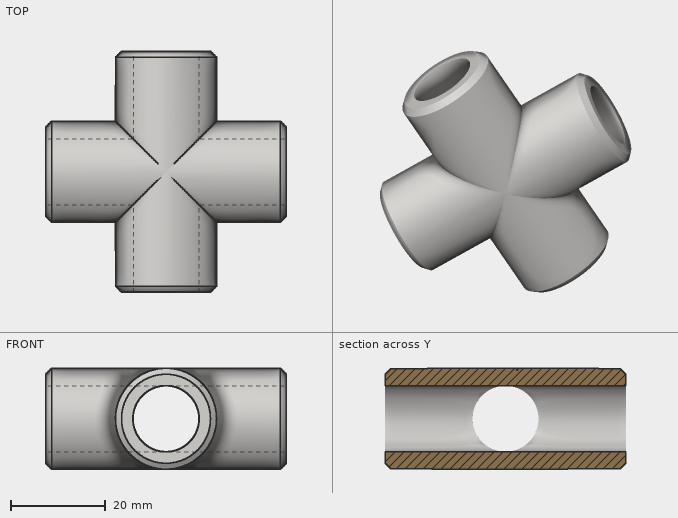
import cadquery as cq

length = 50.8
outer_diameter = 21.35
bore_diameter = 13.9
end_chamfer = 1.25


def centred_cylinder(plane, diameter):
    """Full-length cylinder centred on the origin, along the plane's normal."""
    return cq.Workplane(plane).circle(diameter / 2).extrude(length / 2, both=True)


def chamfered_tube_body(plane):
    """Solid outer body of one tube, with both end rims chamfered."""
    return centred_cylinder(plane, outer_diameter).faces("|X or |Y").chamfer(end_chamfer)


tube_planes = ("YZ", "XZ")

result = cq.Workplane("XY")
for tube_plane in tube_planes:
    result = result.union(chamfered_tube_body(tube_plane))

for tube_plane in tube_planes:
    result = result.cut(centred_cylinder(tube_plane, bore_diameter))